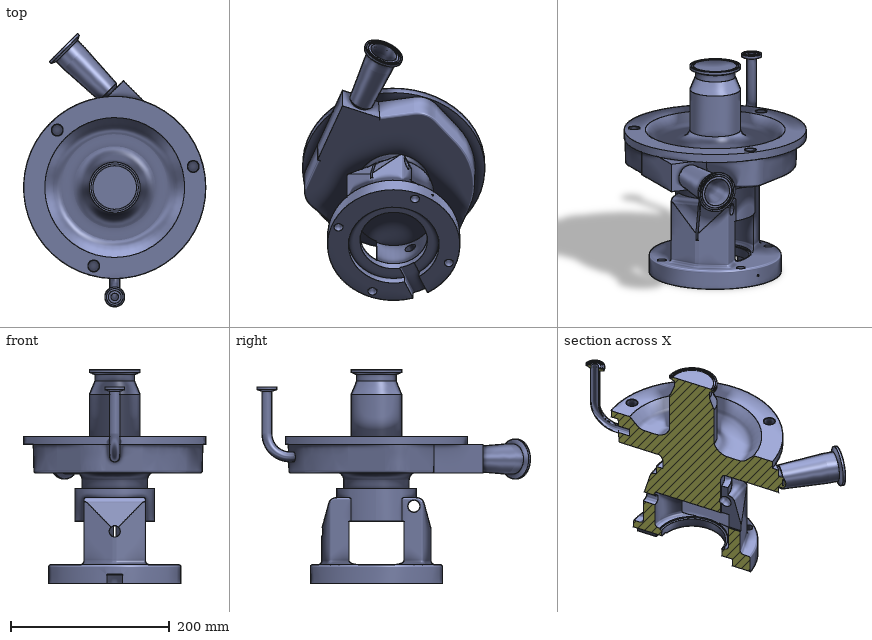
import cadquery as cq
import math

BASE_TOP = 24.0
COLLAR_BOTTOM = 78.5
LEG_TOP = 108.6
COLLAR_TOP = 120.4
NECK_FLARE_START = 130.5
BODY_BOTTOM = 139.5
FLANGE_BOTTOM = 175.6
FLANGE_TOP = 186.0
PIPE_SHOULDER = 238.9
PIPE_NECK_START = 255.5
PIPE_TOP = 270.0

BASE_RADIUS = 83.5
BASE_EDGE_FILLET = 3.0
BASE_BORE_RADIUS = 42.5
BASE_LEDGE_RADIUS = 45.3
BASE_LEDGE_Z = 22.0
REGISTER_RADIUS = 57.15
REGISTER_DEPTH = 10.7
BASE_BOLT_CIRCLE_RADIUS = 74.6
BASE_BOLT_DIAMETER = 11.0
BASE_BOLT_COUNT = 4
DRAIN_SLOT_WIDTH = 20.0
DRAIN_SLOT_HEIGHT = 12.4
DRAIN_SLOT_FILLET = 2.0
PIN_HOLE_DIAMETER = 2.0
PIN_HOLE_Y = 41.6
PIN_HOLE_Z = 12.5
PIN_HOLE_DEPTH = 15.0

LEG_HALF_WIDTH = 38.9
LEG_APEX_Y = 69.0
LEG_SIDE_Y = 58.8
LEG_APEX_HALF_WIDTH = 2.6
LEG_INNER_Y = 20.0
LEG_EDGE_RADIUS = 2.5
LEG_TOP_RADIUS = 9.5
LEG_SLOPE_START_Z = 69.3
LEG_SLOPE_TOP_Y = 58.2
LEG_BORE_RADIUS = 52.0
FOOT_FILLET = 5.0
LEG_HOLE_DIAMETER = 14.0
LEG_HOLE_Z = 66.0

COLLAR_RADIUS = 50.4
NECK_RADIUS = 41.4
NECK_FLARE_RADIUS = 10.8
CLAMP_SLIT_WIDTH = 3.1
CLAMP_BOLT_DIAMETER = 15.0
CLAMP_BOLT_Y = 47.3
CLAMP_BOLT_Z = 97.8

LUG_RADIUS = 30.0
LUG_CENTER_RADIUS = 84.3
LUG_ANGLES = (15.0, 135.0, 255.0)
WALL_RADII = (103.0, 103.0, 98.0)
BODY_DRAFT = 1.5
BODY_EDGE_FILLET = 3.0

FLANGE_RADIUS = 115.0
FLANGE_BOLT_CIRCLE_RADIUS = 102.5
FLANGE_HOLE_DIAMETER = 14.0
FLANGE_HOLE_CHAMFER = 0.5
FLANGE_HOLE_DEPTH = 15.0
DISH_DEPTH = 15.0
DISH_FLOOR_RADIUS = 67.0
DISH_CORNER_RADIUS = 15.0
DISH_WALL_ANGLE = 45.0
DISH_HUB_RADIUS = 51.7
DISH_HUB_FILLET = 20.6

PIPE_RADIUS = 32.0
PIPE_NECK_RADIUS = 25.2
PIPE_GROOVE_OUTER_RADIUS = 29.8
PIPE_GROOVE_INNER_RADIUS = 27.5

RIM_THICKNESS = 3.3
FERRULE_LENGTH = 6.3
GROOVE_DEPTH = 1.2

OUTLET_AXIS_ANGLE = 135.0
OUTLET_OFFSET = 79.1
OUTLET_Z = 157.3
OUTLET_BLOCK_FACE = 87.5
OUTLET_BLOCK_SIDE = WALL_RADII[0]
OUTLET_BLOCK_WIDTH = 51.0
OUTLET_CONE_START = 91.5
OUTLET_CONE_END = 150.6
OUTLET_FACE = 170.6
OUTLET_ROOT_RADIUS = 12.0
OUTLET_CONE_RADIUS = 15.5
OUTLET_PIPE_RADIUS = 19.05
OUTLET_RIM_RADIUS = 25.25
OUTLET_GROOVE_OUTER_RADIUS = 23.0
OUTLET_GROOVE_INNER_RADIUS = 20.6
OUTLET_BORE_RADIUS = 17.4
OUTLET_BORE_STRAIGHT = 14.0
OUTLET_BORE_END_RADIUS = 13.5

PORT_Y = -138.1
PORT_PIPE_RADIUS = 6.35
PORT_BORE_RADIUS = 4.7
PORT_RIM_RADIUS = 12.6
PORT_GROOVE_OUTER_RADIUS = 10.5
PORT_GROOVE_INNER_RADIUS = 8.0
PORT_Z = 160.0
PORT_BEND_RADIUS = 29.0
PORT_TOP = 248.3
PORT_RIM_THICKNESS = 3.5
PORT_FERRULE_LENGTH = 5.7

OVERLAP = 20.0
CLEARANCE = 1.0


def polar(radius, degrees):
    angle = math.radians(degrees)
    return radius * math.cos(angle), radius * math.sin(angle)


def cylinder(radius, bottom, top):
    return cq.Workplane("XY").workplane(offset=bottom).circle(radius).extrude(top - bottom)


def seal_groove(outer_radius, inner_radius, face):
    """Ring-shaped cutter for the gasket groove in a ferrule face."""
    floor = face - GROOVE_DEPTH
    return cylinder(outer_radius, floor, face).cut(cylinder(inner_radius, floor, face))


def revolve_profile(points):
    """Solid of revolution about Z from (radius, z) points."""
    return cq.Workplane("XZ").polyline(points).close().revolve(360, (0, 0, 0), (0, 1, 0))


def base_ring():
    return cylinder(BASE_RADIUS, 0, BASE_TOP).faces(">Z").edges().fillet(BASE_EDGE_FILLET)


def leg():
    """The -Y leg: roof-shaped in plan, with a slanted and rounded upper outer face."""
    height = LEG_TOP - BASE_TOP
    plan = (
        cq.Workplane("XY")
        .workplane(offset=BASE_TOP)
        .polyline(
            [
                (-LEG_HALF_WIDTH, -LEG_INNER_Y),
                (-LEG_HALF_WIDTH, -LEG_SIDE_Y),
                (-LEG_APEX_HALF_WIDTH, -LEG_APEX_Y),
                (LEG_APEX_HALF_WIDTH, -LEG_APEX_Y),
                (LEG_HALF_WIDTH, -LEG_SIDE_Y),
                (LEG_HALF_WIDTH, -LEG_INNER_Y),
            ]
        )
        .close()
        .extrude(height)
        .edges("|Z and (<X or >X) and (not >Y)")
        .fillet(LEG_EDGE_RADIUS)
    )
    side = (
        cq.Workplane("YZ")
        .polyline(
            [
                (-LEG_INNER_Y, BASE_TOP),
                (-LEG_APEX_Y, BASE_TOP),
                (-LEG_APEX_Y, LEG_SLOPE_START_Z),
                (-LEG_SLOPE_TOP_Y, LEG_TOP),
                (-LEG_INNER_Y, LEG_TOP),
            ]
        )
        .close()
        .extrude(LEG_HALF_WIDTH, both=True)
        .faces(">Z")
        .edges("<Y")
        .fillet(LEG_TOP_RADIUS)
        .faces(">Z")
        .edges("|Y")
        .fillet(LEG_EDGE_RADIUS)
    )
    bore = cylinder(LEG_BORE_RADIUS, 0, COLLAR_BOTTOM)
    return plan.intersect(side).cut(bore)


def cut_base(body):
    """Bore, motor register, bolt holes, drain slot and pin hole of the base ring."""
    ledge = cylinder(BASE_LEDGE_RADIUS, BASE_LEDGE_Z, COLLAR_BOTTOM)
    bore = cylinder(BASE_BORE_RADIUS, 0, BASE_LEDGE_Z)
    register = cylinder(REGISTER_RADIUS, 0, REGISTER_DEPTH)
    first_bolt_angle = 180 / BASE_BOLT_COUNT
    bolts = (
        cq.Workplane("XY")
        .polarArray(BASE_BOLT_CIRCLE_RADIUS, first_bolt_angle, 360, BASE_BOLT_COUNT)
        .circle(BASE_BOLT_DIAMETER / 2)
        .extrude(BASE_TOP)
    )
    drain_slot = (
        cq.Workplane("XY")
        .box(DRAIN_SLOT_WIDTH, BASE_RADIUS, DRAIN_SLOT_HEIGHT, centered=(True, False, False))
        .edges("|Y and >Z")
        .fillet(DRAIN_SLOT_FILLET)
        .translate((0, -BASE_RADIUS, 0))
    )
    pin_hole_mouth = -math.sqrt(BASE_RADIUS**2 - PIN_HOLE_Y**2)
    pin_hole = (
        cq.Workplane("YZ")
        .workplane(offset=pin_hole_mouth - CLEARANCE)
        .center(PIN_HOLE_Y, PIN_HOLE_Z)
        .circle(PIN_HOLE_DIAMETER / 2)
        .extrude(PIN_HOLE_DEPTH + CLEARANCE)
    )
    for cutter in (ledge, bore, register, bolts, drain_slot, pin_hole):
        body = body.cut(cutter)
    return body


def cut_legs(body):
    """Round hole in the -Y leg, clamp bolt hole and clamp slit in the +Y leg."""
    leg_hole = (
        cq.Workplane("XZ")
        .center(0, LEG_HOLE_Z)
        .circle(LEG_HOLE_DIAMETER / 2)
        .extrude(LEG_APEX_Y)
    )
    clamp_bolt_hole = (
        cq.Workplane("YZ")
        .center(CLAMP_BOLT_Y, CLAMP_BOLT_Z)
        .circle(CLAMP_BOLT_DIAMETER / 2)
        .extrude(LEG_HALF_WIDTH, both=True)
    )
    slit_bottom = LEG_HOLE_Z - LEG_HOLE_DIAMETER / 2
    slit_length = LEG_APEX_Y - NECK_RADIUS
    slit_height = COLLAR_TOP - slit_bottom
    clamp_slit = (
        cq.Workplane("XY")
        .box(CLAMP_SLIT_WIDTH, slit_length, slit_height, centered=(True, False, False))
        .translate((0, NECK_RADIUS, slit_bottom))
    )
    for cutter in (leg_hole, clamp_bolt_hole, clamp_slit):
        body = body.cut(cutter)
    return body


def bracket():
    """Base ring, two legs and the collar that clamps the pump neck."""
    front_leg = leg()
    back_leg = front_leg.rotate((0, 0, 0), (0, 0, 1), 180)
    body = base_ring().union(front_leg).union(back_leg)
    reach = LEG_APEX_Y + CLEARANCE
    foot_zone = cq.selectors.BoxSelector(
        (-reach, -reach, BASE_TOP - CLEARANCE),
        (reach, reach, BASE_TOP + CLEARANCE),
        boundingbox=True,
    )
    body = body.edges(foot_zone).fillet(FOOT_FILLET)
    body = body.union(cylinder(COLLAR_RADIUS, COLLAR_BOTTOM, COLLAR_TOP))
    return cut_legs(cut_base(body))


def neck():
    """Round neck rising from the collar and flaring into the pump body."""
    flare_height = BODY_BOTTOM - NECK_FLARE_START
    end_angle = math.asin(flare_height / NECK_FLARE_RADIUS)
    flare_width = NECK_FLARE_RADIUS * (1 - math.cos(end_angle))
    return (
        cq.Workplane("XZ")
        .moveTo(0, COLLAR_TOP)
        .lineTo(NECK_RADIUS, COLLAR_TOP)
        .lineTo(NECK_RADIUS, NECK_FLARE_START)
        .radiusArc((NECK_RADIUS + flare_width, BODY_BOTTOM), NECK_FLARE_RADIUS)
        .lineTo(0, BODY_BOTTOM)
        .close()
        .revolve(360, (0, 0, 0), (0, 1, 0))
    )


def tangent_spread(wall_radius):
    """Angle from a lug's center line to its tangent flat with the neighbouring wall."""
    return math.degrees(math.acos((wall_radius - LUG_RADIUS) / LUG_CENTER_RADIUS))


def lug_point(lug_angle, direction):
    """Point on a lug's rounded nose, in the given direction from its center."""
    center_x, center_y = polar(LUG_CENTER_RADIUS, lug_angle)
    offset_x, offset_y = polar(LUG_RADIUS, direction)
    return center_x + offset_x, center_y + offset_y


def pump_body():
    """Drafted round body with three lugs blended in by tangent flats."""
    previous_wall = WALL_RADII[-1]
    start = polar(previous_wall, LUG_ANGLES[0] - tangent_spread(previous_wall))
    outline = cq.Workplane("XY").workplane(offset=FLANGE_BOTTOM).moveTo(*start)
    lug_pitch = 360 / len(LUG_ANGLES)
    for angle, wall in zip(LUG_ANGLES, WALL_RADII):
        arrive = angle - tangent_spread(previous_wall)
        leave = angle + tangent_spread(wall)
        wall_middle = angle + lug_pitch / 2
        wall_end = angle + lug_pitch - tangent_spread(wall)
        outline = (
            outline.lineTo(*lug_point(angle, arrive))
            .threePointArc(lug_point(angle, angle), lug_point(angle, leave))
            .lineTo(*polar(wall, leave))
            .threePointArc(polar(wall, wall_middle), polar(wall, wall_end))
        )
        previous_wall = wall
    return (
        outline.close()
        .extrude(BODY_BOTTOM - FLANGE_BOTTOM, taper=BODY_DRAFT)
        .faces("<Z")
        .edges()
        .fillet(BODY_EDGE_FILLET)
    )


def dish():
    """Cutter for the dished upper face, leaving the pipe hub in the middle."""
    floor = FLANGE_TOP - DISH_DEPTH
    wall = math.radians(DISH_WALL_ANGLE)
    corner_radius = DISH_FLOOR_RADIUS + DISH_CORNER_RADIUS * math.sin(wall)
    corner_z = floor + DISH_CORNER_RADIUS * (1 - math.cos(wall))
    rim_radius = corner_radius + (FLANGE_TOP - corner_z) / math.tan(wall)
    hub_run = DISH_HUB_RADIUS - PIPE_RADIUS
    hub_z = floor + DISH_HUB_FILLET - math.sqrt(DISH_HUB_FILLET**2 - hub_run**2)
    return (
        cq.Workplane("XZ")
        .moveTo(PIPE_RADIUS, FLANGE_TOP)
        .lineTo(PIPE_RADIUS, hub_z)
        .radiusArc((DISH_HUB_RADIUS, floor), -DISH_HUB_FILLET)
        .lineTo(DISH_FLOOR_RADIUS, floor)
        .radiusArc((corner_radius, corner_z), -DISH_CORNER_RADIUS)
        .lineTo(rim_radius, FLANGE_TOP)
        .close()
        .revolve(360, (0, 0, 0), (0, 1, 0))
    )


def flange_hole(angle):
    """Cutter for one blind, lightly chamfered hole in the flange."""
    x, y = polar(FLANGE_BOLT_CIRCLE_RADIUS, angle)
    radius = FLANGE_HOLE_DIAMETER / 2
    chamfer_start = FLANGE_TOP - FLANGE_HOLE_CHAMFER
    hole = cylinder(radius, FLANGE_TOP - FLANGE_HOLE_DEPTH, FLANGE_TOP)
    chamfer = revolve_profile(
        [
            (0, chamfer_start),
            (radius, chamfer_start),
            (radius + FLANGE_HOLE_CHAMFER, FLANGE_TOP),
            (0, FLANGE_TOP),
        ]
    )
    return hole.union(chamfer).translate((x, y, 0))


def top_pipe():
    """Solid inlet stub with a shoulder cone and a clamp ferrule."""
    pipe = revolve_profile(
        [
            (0, FLANGE_TOP - DISH_DEPTH),
            (PIPE_RADIUS, FLANGE_TOP - DISH_DEPTH),
            (PIPE_RADIUS, PIPE_SHOULDER),
            (PIPE_NECK_RADIUS, PIPE_NECK_START),
            (PIPE_NECK_RADIUS, PIPE_TOP - FERRULE_LENGTH),
            (PIPE_RADIUS, PIPE_TOP - RIM_THICKNESS),
            (PIPE_RADIUS, PIPE_TOP),
            (0, PIPE_TOP),
        ]
    )
    return pipe.cut(seal_groove(PIPE_GROOVE_OUTER_RADIUS, PIPE_GROOVE_INNER_RADIUS, PIPE_TOP))


def place_outlet(shape):
    """Turn a shape built along +Z at the origin onto the outlet axis."""
    offset_x, offset_y = polar(OUTLET_OFFSET, OUTLET_AXIS_ANGLE - 90)
    return (
        shape.rotate((0, 0, 0), (0, 1, 0), 90)
        .rotate((0, 0, 0), (0, 0, 1), OUTLET_AXIS_ANGLE)
        .translate((offset_x, offset_y, OUTLET_Z))
    )


def outlet_block():
    """Square block tangent to the body that carries the outlet pipe."""
    block = cq.Workplane("XY").box(
        OUTLET_BLOCK_FACE, OUTLET_BLOCK_WIDTH, FLANGE_BOTTOM - BODY_BOTTOM, centered=False
    )
    block = block.translate((0, -OUTLET_BLOCK_SIDE, BODY_BOTTOM))
    return block.rotate((0, 0, 0), (0, 0, 1), OUTLET_AXIS_ANGLE)


def outlet_pipe():
    """Solid widening outlet pipe, rooted in the block and ending in a clamp ferrule."""
    pipe = revolve_profile(
        [
            (0, OUTLET_BLOCK_FACE - OVERLAP),
            (OUTLET_ROOT_RADIUS, OUTLET_BLOCK_FACE - OVERLAP),
            (OUTLET_ROOT_RADIUS, OUTLET_BLOCK_FACE),
            (OUTLET_CONE_RADIUS, OUTLET_CONE_START),
            (OUTLET_PIPE_RADIUS, OUTLET_CONE_END),
            (OUTLET_PIPE_RADIUS, OUTLET_FACE - FERRULE_LENGTH),
            (OUTLET_RIM_RADIUS, OUTLET_FACE - RIM_THICKNESS),
            (OUTLET_RIM_RADIUS, OUTLET_FACE),
            (0, OUTLET_FACE),
        ]
    )
    groove = seal_groove(OUTLET_GROOVE_OUTER_RADIUS, OUTLET_GROOVE_INNER_RADIUS, OUTLET_FACE)
    return place_outlet(pipe.cut(groove))


def outlet_bore():
    """Cutter for the outlet: straight at the mouth, then narrowing towards the block."""
    taper_start = OUTLET_FACE - OUTLET_BORE_STRAIGHT
    bore = revolve_profile(
        [
            (0, OUTLET_CONE_START),
            (OUTLET_BORE_END_RADIUS, OUTLET_CONE_START),
            (OUTLET_BORE_RADIUS, taper_start),
            (OUTLET_BORE_RADIUS, OUTLET_FACE),
            (0, OUTLET_FACE),
        ]
    )
    return place_outlet(bore)


def port_run(radius, inner_length):
    """Round bar along the port path: out of the body, around the bend and up."""
    bend_start_y = PORT_Y + PORT_BEND_RADIUS
    bend_top = PORT_Z + PORT_BEND_RADIUS
    diagonal = PORT_BEND_RADIUS * math.sqrt(0.5)
    bend_middle = (bend_start_y - diagonal, bend_top - diagonal)
    path = (
        cq.Workplane("YZ")
        .moveTo(bend_start_y + inner_length, PORT_Z)
        .lineTo(bend_start_y, PORT_Z)
        .threePointArc(bend_middle, (PORT_Y, bend_top))
        .lineTo(PORT_Y, PORT_TOP)
    )
    start_plane = cq.Plane(
        origin=(0, bend_start_y + inner_length, PORT_Z), xDir=(1, 0, 0), normal=(0, -1, 0)
    )
    return cq.Workplane(start_plane).circle(radius).sweep(path)


def port():
    """Solid bent port pipe with its small clamp ferrule on top."""
    ferrule = revolve_profile(
        [
            (0, PORT_TOP - PORT_FERRULE_LENGTH),
            (PORT_PIPE_RADIUS, PORT_TOP - PORT_FERRULE_LENGTH),
            (PORT_RIM_RADIUS, PORT_TOP - PORT_RIM_THICKNESS),
            (PORT_RIM_RADIUS, PORT_TOP),
            (0, PORT_TOP),
        ]
    )
    groove = seal_groove(PORT_GROOVE_OUTER_RADIUS, PORT_GROOVE_INNER_RADIUS, PORT_TOP)
    ferrule = ferrule.cut(groove).translate((0, PORT_Y, 0))
    return port_run(PORT_PIPE_RADIUS, OVERLAP).union(ferrule)


def pump():
    """Casing with its flange, dish, neck and three pipe connections."""
    body = pump_body().union(outlet_block())
    body = body.union(cylinder(FLANGE_RADIUS, FLANGE_BOTTOM, FLANGE_TOP))
    body = body.cut(dish())
    for angle in LUG_ANGLES:
        body = body.cut(flange_hole(angle))
    body = body.union(neck()).union(top_pipe()).union(outlet_pipe()).union(port())
    return body.cut(outlet_bore()).cut(port_run(PORT_BORE_RADIUS, OVERLAP))


result = bracket().union(pump())